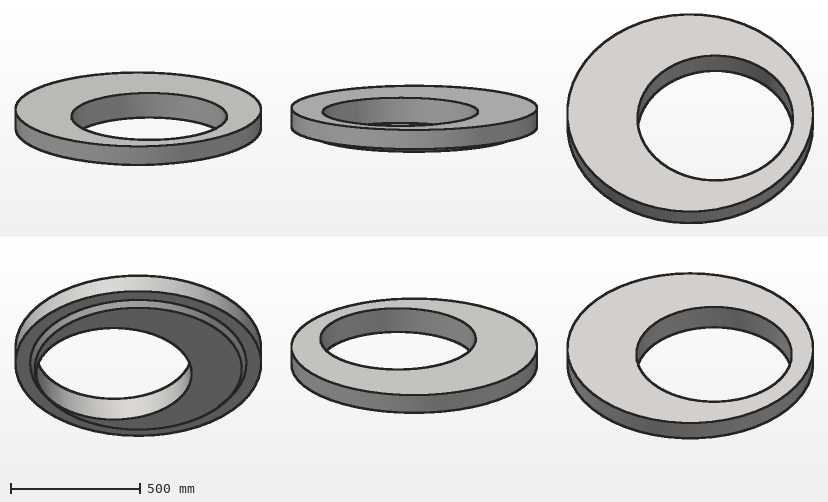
import cadquery as cq

disc_diameter = 950.0
disc_thickness = 75.0

total_height = 100.0
spigot_height = total_height - disc_thickness
spigot_top_diameter = 836.0
spigot_bottom_diameter = 800.0

bore_diameter = 600.0
bore_offset_x = 100.0

half_section = (
    cq.Workplane("XZ")
    .moveTo(0, 0)
    .lineTo(spigot_bottom_diameter / 2, 0)
    .lineTo(spigot_top_diameter / 2, spigot_height)
    .lineTo(disc_diameter / 2, spigot_height)
    .lineTo(disc_diameter / 2, total_height)
    .lineTo(0, total_height)
    .close()
)
body = half_section.revolve(360, (0, 0, 0), (0, 1, 0))

bore = cq.Workplane("XY").center(bore_offset_x, 0).circle(bore_diameter / 2).extrude(total_height)

result = body.cut(bore)